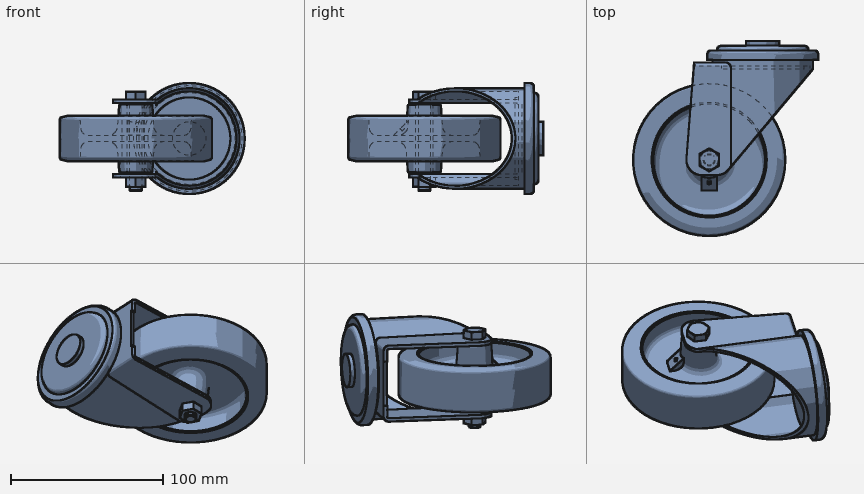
import cadquery as cq
import math


WHEEL_RADIUS = 49.98
TREAD_HALF_WIDTH = 12.0
SHOULDER_RADIUS = 48.4
SHOULDER_HEIGHT = 14.1
SHOULDER_ARC_RADIUS = 2.0
FACE_OUTER_RADIUS = 44.7
FACE_HEIGHT = 15.0
RIM_LIP_RADIUS = 37.8
RIM_LIP_DEPTH = 0.6
WEB_OUTER_RADIUS = 31.2
WEB_HALF_THICKNESS = 2.0
RIM_FILLET = 4.9
DRAFT = math.radians(4)
HUB_RADIUS = 11.0
HUB_HALF_LENGTH = 22.3
HUB_TOP_FILLET = 1.3
HUB_FLARE = 6.3

LUG_WIDTH = 10.2
LUG_REACH = 20.0
LUG_TIP_HEIGHT = 0.3
LUG_HOLE_OFFSET = 15.1
LUG_HOLE_DIAMETER = 2.4
LUG_HOLE_DEPTH = 1.9

BOLT_DIAMETER = 8.0
BOLT_TIP_DIAMETER = 6.7
BOLT_END = 34.5
HEX_ACROSS_FLATS = 12.9
BOLT_HEAD_HEIGHT = 5.1
BOLT_HEAD_CHAMFER_DIAMETER = 13.7
HEAD_CHAMFER_ANGLE = math.radians(30)
NUT_HEIGHT = 6.1
TUBE_DIAMETER = 11.5

SWIVEL_OFFSET = 35.1
SHELL_DIAMETER = 66.0
SHELL_BORE = 62.0
FORK_HALF_WIDTH = 25.6
PLATE_THICKNESS = 2.4
BRIDGE_TOP = 64
BEND_INNER_RADIUS = 1.2
LEG_CORNER_RADIUS = 10.0
LEG_CORNER_OFFSET = 5.0
LEG_LEAN = math.radians(4.5)
CUT_ANGLE = math.radians(50)
NOTCH_DEPTH = 1.2
NOTCH_WIDTH = 29.7

FLANGE_DIAMETER = 73
FLANGE_BOTTOM = 65.5
FLANGE_TOP = 71.8
FLANGE_ROUND_WIDTH = 1.8
FLANGE_ROUND_HEIGHT = 3.2
CAP_DIAMETER = 60.2
CAP_TOP = 74.9
STUD_DIAMETER = 22.0
STUD_TOP = 128 - WHEEL_RADIUS
LOWER_RACE_DIAMETER = 54.0
LOWER_RACE_BOTTOM = 59.5

LEG_INNER_Z = FORK_HALF_WIDTH - PLATE_THICKNESS
CEILING = BRIDGE_TOP - PLATE_THICKNESS


def disc(diameter, bottom, top):
    """Cylinder along Z between two heights."""
    return cq.Workplane("XY").workplane(offset=bottom).circle(diameter / 2).extrude(top - bottom)


def swivel_disc(diameter, bottom, top):
    """Cylinder on the swivel axis between two Y levels."""
    plane = cq.Plane(origin=(SWIVEL_OFFSET, bottom, 0), xDir=(1, 0, 0), normal=(0, 1, 0))
    return cq.Workplane(plane).circle(diameter / 2).extrude(top - bottom)


def hexagon(bottom, top):
    """Hexagonal prism along Z with two corners on the Y axis."""
    corner_diameter = HEX_ACROSS_FLATS / math.cos(math.pi / 6)
    return (
        cq.Workplane("XY").workplane(offset=bottom).transformed(rotate=(0, 0, 90))
        .polygon(6, corner_diameter).extrude(top - bottom)
    )


def make_half_wheel():
    """Half of the wheel above its middle plane, revolved about Z."""
    cos_draft, sin_draft, tan_draft = math.cos(DRAFT), math.sin(DRAFT), math.tan(DRAFT)

    hub_shoulder = HUB_HALF_LENGTH - HUB_TOP_FILLET
    flare_top = WEB_HALF_THICKNESS + HUB_FLARE * (1 - sin_draft)
    flare_top_radius = HUB_RADIUS + (hub_shoulder - flare_top) * tan_draft
    flare_end_radius = flare_top_radius + HUB_FLARE * cos_draft

    rim_fillet_top = WEB_HALF_THICKNESS + RIM_FILLET * (1 - sin_draft)
    rim_fillet_radius = WEB_OUTER_RADIUS + RIM_FILLET * cos_draft
    lip_base = FACE_HEIGHT - RIM_LIP_DEPTH
    lip_base_radius = rim_fillet_radius + (lip_base - rim_fillet_top) * tan_draft

    profile = (
        cq.Workplane("XZ")
        .moveTo(TUBE_DIAMETER / 2, 0)
        .lineTo(TUBE_DIAMETER / 2, HUB_HALF_LENGTH)
        .lineTo(HUB_RADIUS - HUB_TOP_FILLET, HUB_HALF_LENGTH)
        .radiusArc((HUB_RADIUS, hub_shoulder), HUB_TOP_FILLET)
        .lineTo(flare_top_radius, flare_top)
        .tangentArcPoint((flare_end_radius, WEB_HALF_THICKNESS), relative=False)
        .lineTo(WEB_OUTER_RADIUS, WEB_HALF_THICKNESS)
        .tangentArcPoint((rim_fillet_radius, rim_fillet_top), relative=False)
        .lineTo(lip_base_radius, lip_base)
        .lineTo(RIM_LIP_RADIUS, FACE_HEIGHT)
        .lineTo(FACE_OUTER_RADIUS, FACE_HEIGHT)
        .lineTo(SHOULDER_RADIUS, SHOULDER_HEIGHT)
        .radiusArc((WHEEL_RADIUS, TREAD_HALF_WIDTH), SHOULDER_ARC_RADIUS)
        .lineTo(WHEEL_RADIUS, 0)
        .close()
    )
    return profile.revolve(360, (0, 0), (0, 1))


def make_lug():
    """Lug on the -Y side of the hub, with a 45 degree face and a hole square to that face."""
    tip = WEB_HALF_THICKNESS + LUG_TIP_HEIGHT
    inner_reach = HUB_RADIUS - HUB_TOP_FILLET
    lug = (
        cq.Workplane("YZ")
        .moveTo(-inner_reach, 0)
        .lineTo(-LUG_REACH, 0)
        .lineTo(-LUG_REACH, tip)
        .lineTo(-inner_reach, tip + LUG_REACH - inner_reach)
        .close()
        .extrude(LUG_WIDTH / 2, both=True)
    )
    hole_centre = (0, -LUG_HOLE_OFFSET, tip + LUG_REACH - LUG_HOLE_OFFSET)
    face = cq.Plane(origin=hole_centre, xDir=(1, 0, 0), normal=(0, -1, 1))
    hole = cq.Workplane(face).circle(LUG_HOLE_DIAMETER / 2).extrude(-LUG_HOLE_DEPTH)
    return lug.cut(hole)


def make_wheel():
    half = make_half_wheel()
    return half.union(half.mirror("XY")).union(make_lug())


def make_axle_tube():
    """Spacer tube through the hub, clamped between the fork legs."""
    tube = disc(TUBE_DIAMETER, -LEG_INNER_Z, LEG_INNER_Z)
    return tube.cut(disc(BOLT_DIAMETER, -LEG_INNER_Z, LEG_INNER_Z))


def make_bolt():
    head_top = FORK_HALF_WIDTH + BOLT_HEAD_HEIGHT
    cone_base_radius = BOLT_HEAD_CHAMFER_DIAMETER / 2 + BOLT_HEAD_HEIGHT / math.tan(HEAD_CHAMFER_ANGLE)
    cone = cq.Workplane(cq.Solid.makeCone(
        cone_base_radius, BOLT_HEAD_CHAMFER_DIAMETER / 2, BOLT_HEAD_HEIGHT, cq.Vector(0, 0, FORK_HALF_WIDTH)
    ))
    head = hexagon(FORK_HALF_WIDTH, head_top).intersect(cone)
    tip_chamfer = (BOLT_DIAMETER - BOLT_TIP_DIAMETER) / 2
    shank = disc(BOLT_DIAMETER, -BOLT_END, FORK_HALF_WIDTH).faces("<Z").chamfer(tip_chamfer)
    return head.union(shank)


def make_nut():
    nut_bottom = -FORK_HALF_WIDTH - NUT_HEIGHT
    nut = hexagon(nut_bottom, -FORK_HALF_WIDTH)
    return nut.cut(disc(BOLT_DIAMETER, nut_bottom, -FORK_HALF_WIDTH))


def side_outline(right_edge):
    """Fork side outline: leaning front edge, rounded leg end and sloping rear edge."""
    radius, offset = LEG_CORNER_RADIUS, LEG_CORNER_OFFSET
    front_x = -offset - radius * math.cos(LEG_LEAN)
    front_y = radius * math.sin(LEG_LEAN)
    top_x = front_x + (FLANGE_BOTTOM - front_y) * math.tan(LEG_LEAN)
    rear_x = offset + radius * math.sin(CUT_ANGLE)
    rear_y = -radius * math.cos(CUT_ANGLE)
    rear_top = rear_y + (right_edge - rear_x) * math.tan(CUT_ANGLE)
    return (
        cq.Workplane("XY")
        .moveTo(top_x, FLANGE_BOTTOM)
        .lineTo(front_x, front_y)
        .tangentArcPoint((-offset, -radius), relative=False)
        .lineTo(offset, -radius)
        .tangentArcPoint((rear_x, rear_y), relative=False)
        .lineTo(right_edge, rear_top)
        .lineTo(right_edge, FLANGE_BOTTOM)
        .close()
        .extrude(FORK_HALF_WIDTH + SHELL_DIAMETER, both=True)
    )


def channel(half_width, top, corner_radius):
    """Long block open downwards, with both upper edges rounded, reaching to the swivel axis."""
    length = 2 * SWIVEL_OFFSET
    height = top + SHELL_DIAMETER
    block = cq.Workplane("XY").box(length, height, 2 * half_width, centered=(False, False, True))
    block = block.translate((SWIVEL_OFFSET - length, top - height, 0))
    return block.edges("|X and >Y").fillet(corner_radius)


def make_fork_body():
    """Bent plate bracket merged with the round shell around the swivel axis."""
    shell_bottom = -SHELL_DIAMETER
    bend_outer_radius = BEND_INNER_RADIUS + PLATE_THICKNESS
    body = channel(FORK_HALF_WIDTH, BRIDGE_TOP, bend_outer_radius)
    body = body.union(swivel_disc(SHELL_DIAMETER, shell_bottom, FLANGE_BOTTOM))
    body = body.intersect(side_outline(SWIVEL_OFFSET + SHELL_DIAMETER / 2))
    body = body.cut(channel(LEG_INNER_Z, CEILING, BEND_INNER_RADIUS))
    return body.cut(swivel_disc(SHELL_BORE, shell_bottom, CEILING))


def cut_bridge_notch(body):
    """Shallow notch in the middle of the front edge of the bridge."""
    edge_x = body.faces(">Y[1]").val().BoundingBox().xmin
    notch = cq.Workplane("XY").box(2 * NOTCH_DEPTH, 2 * PLATE_THICKNESS, NOTCH_WIDTH)
    return body.cut(notch.translate((edge_x, BRIDGE_TOP - PLATE_THICKNESS / 2, 0)))


def make_swivel_head():
    """Stepped round head above the shell, and the race disc below the shell ceiling."""
    cap_height = CAP_TOP - FLANGE_TOP
    flange_radius = FLANGE_DIAMETER / 2
    profile = (
        cq.Workplane("XY").center(SWIVEL_OFFSET, 0)
        .moveTo(0, FLANGE_BOTTOM)
        .lineTo(flange_radius, FLANGE_BOTTOM)
        .lineTo(flange_radius, FLANGE_TOP - FLANGE_ROUND_HEIGHT)
        .radiusArc((flange_radius - FLANGE_ROUND_WIDTH, FLANGE_TOP), -FLANGE_ROUND_HEIGHT)
        .lineTo(CAP_DIAMETER / 2, FLANGE_TOP)
        .radiusArc((CAP_DIAMETER / 2 - cap_height, CAP_TOP), -cap_height)
        .lineTo(STUD_DIAMETER / 2, CAP_TOP)
        .lineTo(STUD_DIAMETER / 2, STUD_TOP)
        .lineTo(0, STUD_TOP)
        .close()
    )
    head = profile.revolve(360, (0, 0), (0, 1))
    return head.union(swivel_disc(LOWER_RACE_DIAMETER, LOWER_RACE_BOTTOM, CEILING))


def make_fork():
    fork = cut_bridge_notch(make_fork_body())
    fork = fork.union(make_swivel_head())
    return fork.cut(disc(BOLT_DIAMETER, -FORK_HALF_WIDTH, FORK_HALF_WIDTH))


wheel = make_wheel()
axle_tube = make_axle_tube()
bolt = make_bolt()
nut = make_nut()
fork = make_fork()

result = cq.Compound.makeCompound([fork.val(), wheel.val(), axle_tube.val(), bolt.val(), nut.val()])